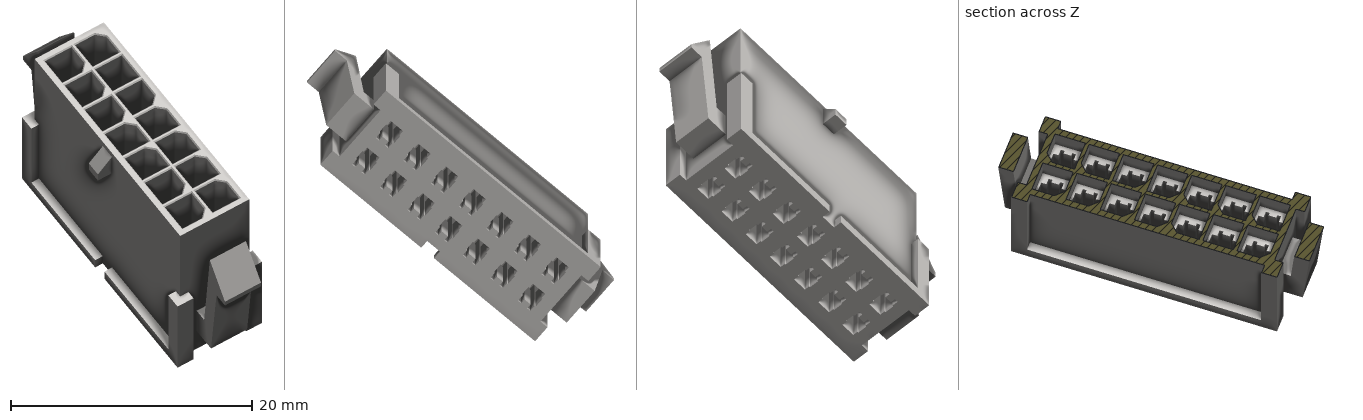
import cadquery as cq

body_length = 21.85
body_depth = 6.85
body_height = 16.9

frame_length = 23.37
frame_depth = 8.38
leg_width = 1.4
leg_depth = 1.58
leg_height = 8.5
lip_height = 1.0
lip_gap = 1.4

catch_width = 1.37
catch_reach = 4.83
catch_underside = 14.1
catch_edge_height = 0.85

arm_width = 3.58
arm_root_bottom = 2.45
arm_root_top = 5.28
arm_foot_outer = 13.08
arm_foot_inner = 12.05
arm_neck = 13.9
hook_reach = 15.18
hook_underside = 10.8
hook_edge_height = 0.52
hook_tip_x = 12.9
hook_tip_z = 14.55

columns = 7
rows = 2
pitch = 3.0
mouth_width = 2.85
mouth_bevel = 0.105
socket_depth = 10.02
key_leg = 0.75

back_row_keys = (-1, 0, 1, -1, -1, -1, -1)
front_row_keys = (1, 1, 1, -1, -1, 1, 1)

passage_width = 1.35
passage_depth = 1.9
wide_passage_width = 1.55
side_pocket_width = 2.25
side_back_y = 0.5
side_front_y = -0.4
side_pocket_depth = 2.43
tab_width = 0.67
tab_ledge_y = -0.7
tab_tip_y = -0.52
tab_step_depth = 2.43

floor_z = body_height - socket_depth


def box(x0, x1, y0, y1, z0, z1):
    """Axis-aligned block between two opposite corners."""
    return cq.Workplane("XY").box(x1 - x0, y1 - y0, z1 - z0, centered=False).translate((x0, y0, z0))


def centred_box(width, y0, y1, z0, z1):
    """Block that is symmetric about X = 0."""
    return box(-width / 2, width / 2, y0, y1, z0, z1)


def make_front_frame():
    """Two corner legs joined by a bottom lip."""
    outer = -frame_depth / 2
    face = -body_depth / 2
    half = frame_length / 2
    frame = centred_box(frame_length, outer, face, 0, lip_height)
    for x0 in (-half, half - leg_width):
        frame = frame.union(box(x0, x0 + leg_width, outer, outer + leg_depth, 0, leg_height))
    return frame


def make_catch():
    """Small hook with a 45 degree lead-in on the front face."""
    face = -body_depth / 2
    edge_z = catch_underside + catch_edge_height
    rise = catch_reach + face
    outline = [
        (0, catch_underside),
        (-catch_reach, catch_underside),
        (-catch_reach, edge_z),
        (face, edge_z + rise),
        (0, edge_z + rise),
    ]
    return cq.Workplane("YZ").polyline(outline).close().extrude(catch_width / 2, both=True)


def make_left_arm():
    """Flexible latch arm leaning outward, with a barbed hook at its top."""
    root_x = -body_length / 2
    outline = [
        (root_x, arm_root_bottom),
        (-arm_foot_outer, arm_root_bottom),
        (-arm_neck, hook_underside),
        (-hook_reach, hook_underside),
        (-hook_reach, hook_underside + hook_edge_height),
        (-hook_tip_x, hook_tip_z),
        (-arm_foot_inner, arm_root_top),
        (root_x, arm_root_top),
    ]
    return cq.Workplane("XZ").polyline(outline).close().extrude(arm_width / 2, both=True)


def make_socket(key_side):
    """Square socket with a bevelled mouth; a key cuts off one of its back corners."""
    half = mouth_width / 2
    outline = [(-half, -half), (half, -half)]
    if key_side == 1:
        outline += [(half, half - key_leg), (half - key_leg, half)]
    else:
        outline += [(half, half)]
    if key_side == -1:
        outline += [(key_leg - half, half), (-half, half - key_leg)]
    else:
        outline += [(-half, half)]
    mouth = (
        cq.Workplane("XY", origin=(0, 0, body_height))
        .polyline(outline)
        .close()
        .extrude(-mouth_bevel, taper=45)
    )
    shaft = mouth.faces("<Z").wires().toPending().workplane().extrude(socket_depth - mouth_bevel, combine=False)
    return mouth.union(shaft)


def make_passage():
    """Through passage with shallow side pockets and a stepped tab on its front side."""
    half = passage_depth / 2
    pocket_z = floor_z - side_pocket_depth
    step_z = floor_z - tab_step_depth
    passage = centred_box(passage_width, -half, half, 0, floor_z)
    passage = passage.union(centred_box(wide_passage_width, side_front_y, side_back_y, 0, floor_z))
    passage = passage.union(centred_box(side_pocket_width, side_front_y, side_back_y, pocket_z, floor_z))
    passage = passage.cut(centred_box(tab_width, -half, tab_ledge_y, 0, floor_z))
    return passage.cut(centred_box(tab_width, -half, tab_tip_y, 0, step_z))


result = centred_box(body_length, -body_depth / 2, body_depth / 2, 0, body_height)

front_frame = make_front_frame()
result = result.union(front_frame).union(front_frame.mirror("XZ"))

result = result.cut(centred_box(lip_gap, -frame_depth / 2, -body_depth / 2, 0, lip_height))

result = result.union(make_catch())

left_arm = make_left_arm()
result = result.union(left_arm).union(left_arm.mirror("YZ"))

cavities = {side: make_socket(side).union(make_passage()) for side in (-1, 0, 1)}
for row, keys in enumerate((front_row_keys, back_row_keys)):
    y = (row - (rows - 1) / 2) * pitch
    for column, key_side in enumerate(keys):
        x = (column - (columns - 1) / 2) * pitch
        result = result.cut(cavities[key_side].translate((x, y, 0)))